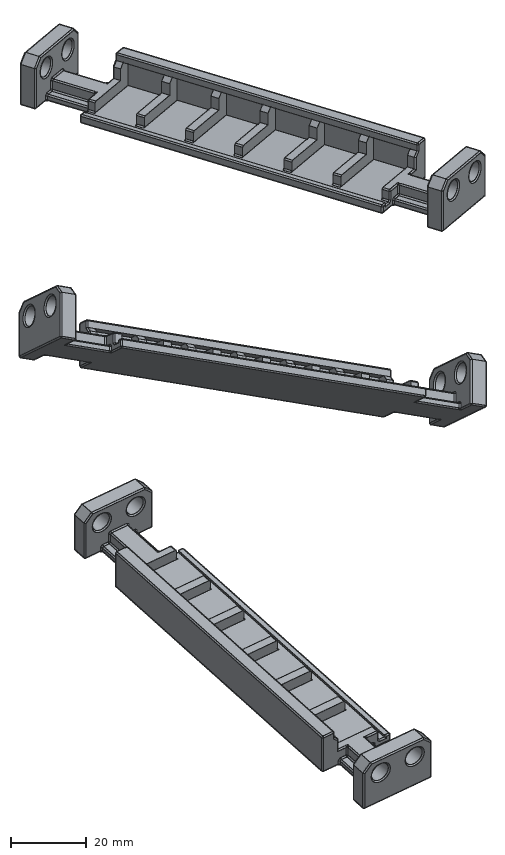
import cadquery as cq

length = 130.0
width = 22.2
plate_height = 15.0

bevel = 0.4

plate_thickness = 5.0
plate_corner = 2.5
hole_diameter = 5.5
hole_spacing = 11.0
hole_height = 10.1

floor_height = 2.0

neck_length = 13.5
neck_height = 5.3
foot_width = 11.2
web_width = 6.0

front_lip_height = 2.6
front_lip_depth = 1.8
back_height = 12.4
back_thickness = 1.5
hook_reach = 2.5
hook_bottom = 10.1

rib_count = 7
rib_thickness = 2.5
rib_height = neck_height
rib_front_gap = 3.9
post_reach = 1.3

tray_length = length - 2 * (plate_thickness + neck_length)
tray_end = tray_length / 2
rib_pitch = (tray_length - rib_thickness) / (rib_count - 1)
front = -width / 2
back = width / 2
back_face = back - back_thickness
hook_face = back_face - hook_reach
post_face = hook_face - post_reach


def section(points, x):
    """Closed (y, z) outline on the plane at x, ready to extrude in +X."""
    return cq.Workplane("YZ", origin=(x, 0, 0)).polyline(points).close()


def tray_shell():
    """Floor with a low front lip and a hooked back wall."""
    lip_back = front + front_lip_depth
    outline = [
        (front + bevel, 0),
        (back - bevel, 0),
        (back, bevel),
        (back, back_height - bevel),
        (back - bevel, back_height),
        (hook_face + bevel, back_height),
        (hook_face, back_height - bevel),
        (hook_face, hook_bottom),
        (back_face, hook_bottom),
        (back_face, floor_height),
        (lip_back, floor_height),
        (lip_back, front_lip_height),
        (front + bevel, front_lip_height),
        (front, front_lip_height - bevel),
        (front, bevel),
    ]
    return section(outline, -tray_end).extrude(tray_length)


def rib(x_center):
    """Low rib on the floor that rises into a post under the hook."""
    rib_front = front + rib_front_gap
    rib_back = back_face + back_thickness / 2
    outline = [
        (rib_front - bevel, floor_height / 2),
        (rib_back, floor_height / 2),
        (rib_back, hook_bottom),
        (hook_face, hook_bottom),
        (post_face, hook_bottom - post_reach),
        (post_face, rib_height),
        (rib_front + bevel, rib_height),
        (rib_front, rib_height - bevel),
        (rib_front, floor_height + bevel),
        (rib_front - bevel, floor_height),
    ]
    return section(outline, x_center - rib_thickness / 2).extrude(rib_thickness)


def tray():
    body = tray_shell()
    for i in range(rib_count):
        body = body.union(rib((i - (rib_count - 1) / 2) * rib_pitch))
    body = body.clean()
    return body.faces("<X or >X").edges().chamfer(bevel)


def right_neck():
    """Neck from the tray to the +X plate, flared by one bevel where it meets each of them."""
    half_foot = foot_width / 2
    half_web = web_width / 2
    right_half = [
        (half_foot - bevel, 0),
        (half_foot, bevel),
        (half_foot, floor_height - bevel),
        (half_foot - bevel, floor_height),
        (half_web + bevel, floor_height),
        (half_web, floor_height + bevel),
        (half_web, neck_height - bevel),
        (half_web - bevel, neck_height),
    ]
    outline = right_half + [(-y, z) for y, z in reversed(right_half)]
    plate_face = tray_end + neck_length

    bar = section(outline, tray_end - bevel).extrude(neck_length + 2 * bevel)
    plate_flare = section(outline, plate_face - bevel).extrude(bevel, taper=-45)
    tray_flare = section(outline, tray_end + bevel).extrude(-bevel, taper=-45)

    below_ribs = cq.Workplane("XY").box(length, width, neck_height, centered=(True, True, False))
    above_base = cq.Workplane("XY").box(length, width, plate_height, centered=(True, True, False))
    return bar.union(tray_flare.intersect(below_ribs)).union(plate_flare.intersect(above_base))


def right_plate():
    plate_center = (length - plate_thickness) / 2
    plate = (
        cq.Workplane("XY", origin=(plate_center, 0, 0))
        .box(plate_thickness, width, plate_height, centered=(True, True, False))
        .edges("|X and >Z").chamfer(plate_corner)
        .faces("<X or >X or <Z").edges().chamfer(bevel)
    )
    hole_centers = [(-hole_spacing / 2, hole_height), (hole_spacing / 2, hole_height)]
    return (
        plate.faces("<X").workplane(origin=(plate_center, 0, 0))
        .pushPoints(hole_centers)
        .hole(hole_diameter)
        .edges("%CIRCLE").chamfer(bevel)
    )


right_end = right_neck().union(right_plate())
left_end = right_end.mirror("YZ")
result = tray().union(right_end).union(left_end)